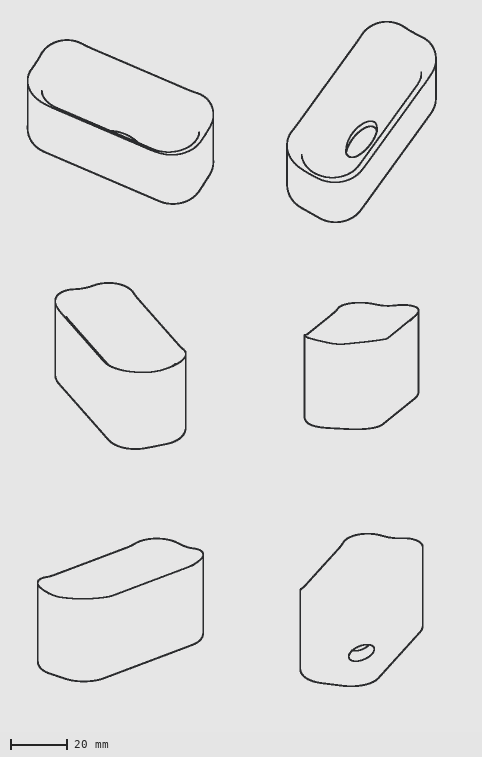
import cadquery as cq
import math

length = 68.1
width = 29.5
height = 32.3
corner_radius = 10.9
base_fillet = 2.45

wall_radius = 10.9
end_center_x = 19.3
floor_half_width = 0.9
wall_bottom = 14.0
flare_radius = 10.0

hole_length = 16.6
hole_width = 7.75

bowl_radius = wall_radius - floor_half_width
floor_height = wall_bottom - bowl_radius

corner_offset_x = length / 2 - corner_radius - end_center_x
corner_offset_y = width / 2 - corner_radius
rim_reach = math.hypot(corner_offset_x, corner_offset_y) + corner_radius
flare_axis = wall_radius + flare_radius
wall_top = height - math.sqrt(flare_radius**2 - (flare_axis - rim_reach) ** 2)
mouth_top = wall_top + flare_radius


def half_profile(plane):
    """Half cross-section of the cavity, from its middle plane outward."""
    diagonal = math.sqrt(0.5)
    bowl_mid = (
        floor_half_width + bowl_radius * diagonal,
        wall_bottom - bowl_radius * diagonal,
    )
    flare_mid = (
        flare_axis - flare_radius * diagonal,
        wall_top + flare_radius * diagonal,
    )
    return (
        cq.Workplane(plane)
        .moveTo(0, floor_height)
        .lineTo(floor_half_width, floor_height)
        .threePointArc(bowl_mid, (wall_radius, wall_bottom))
        .lineTo(wall_radius, wall_top)
        .threePointArc(flare_mid, (flare_axis, mouth_top))
        .lineTo(0, mouth_top)
        .close()
    )


def make_body():
    block = cq.Workplane("XY").box(length, width, height, centered=(True, True, False))
    return block.edges("|Z").fillet(corner_radius).faces("<Z").edges().fillet(base_fillet)


def make_cavity():
    half_trough = half_profile("YZ").extrude(end_center_x, both=True)
    cavity = half_trough.union(half_trough.mirror("XZ"))
    rounded_end = half_profile("XZ").revolve(360, (0, 0), (0, 1))
    for side in (-1, 1):
        cavity = cavity.union(rounded_end.translate((side * end_center_x, 0, 0)))
    return cavity


def make_drain_hole():
    return cq.Workplane("XY").ellipse(hole_length / 2, hole_width / 2).extrude(height)


result = make_body().cut(make_cavity()).cut(make_drain_hole())